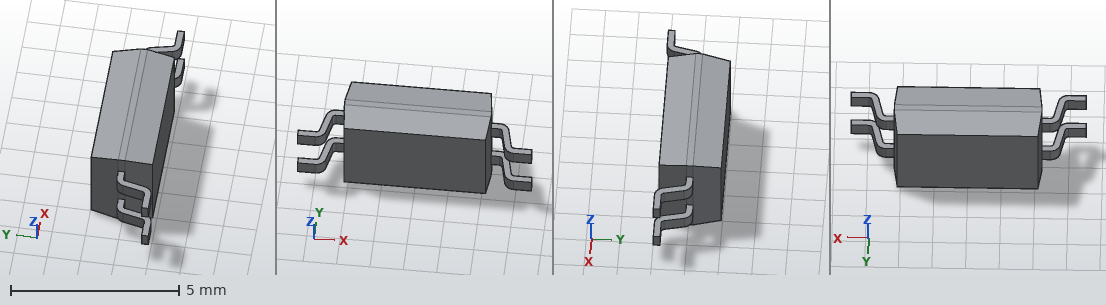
import cadquery as cq
import math

span = 7.0
overall_height = 1.94

body_length = 4.395
body_width = 2.7
body_bottom = 0.085
top_inset_x = 0.105
top_inset_z = 0.15
bottom_inset_x = 0.08
bottom_inset_z = 0.125

lead_thickness = 0.2
lead_width = 0.4
lead_pitch = 1.27
lead_top = 1.105
lead_bottom = lead_top - lead_thickness
foot_length = 0.53
shoulder_inset = 1.06
outer_radius = 0.3
inner_radius = outer_radius - lead_thickness
embed_depth = 0.14


def slab(length, width, y_start, y_end):
    return cq.Workplane("XY").box(length, y_end - y_start, width).translate(
        (0, (y_start + y_end) / 2, 0)
    )


def tapered_block(y_start, y_end, inset_x, inset_z):
    """Block shrinking from the full body outline at y_start to its end face."""
    return (
        cq.Workplane("XZ", origin=(0, y_start, 0))
        .rect(body_length, body_width)
        .workplane(offset=y_start - y_end)
        .rect(body_length - 2 * inset_x, body_width - 2 * inset_z)
        .loft(ruled=True)
    )


def make_body():
    band = slab(body_length, body_width, lead_bottom, lead_top)
    upper = tapered_block(lead_top, overall_height, top_inset_x, top_inset_z)
    lower = tapered_block(lead_bottom, body_bottom, bottom_inset_x, bottom_inset_z)
    return band.union(upper).union(lower)


def arc_point(center, radius, angle):
    return (center[0] + radius * math.cos(angle), center[1] + radius * math.sin(angle))


def lead_profile():
    """S-shaped strip: foot, bend, sloping leg, opposite bend, shoulder."""
    tip_x = -span / 2
    shoulder_end = -body_length / 2 + embed_depth
    foot_center = (tip_x + foot_length, outer_radius)
    shoulder_center = (tip_x + shoulder_inset, lead_top - outer_radius)

    dx = shoulder_center[0] - foot_center[0]
    dy = shoulder_center[1] - foot_center[1]
    leg_angle = math.atan2(dy, dx) + math.asin(
        (outer_radius + inner_radius) / math.hypot(dx, dy)
    )
    foot_start = -math.pi / 2
    foot_stop = leg_angle - math.pi / 2
    foot_mid = (foot_start + foot_stop) / 2
    shoulder_start = foot_start + math.pi
    shoulder_stop = foot_stop + math.pi
    shoulder_mid = foot_mid + math.pi

    return (
        cq.Workplane("XY")
        .moveTo(tip_x, 0)
        .lineTo(foot_center[0], 0)
        .threePointArc(
            arc_point(foot_center, outer_radius, foot_mid),
            arc_point(foot_center, outer_radius, foot_stop),
        )
        .lineTo(*arc_point(shoulder_center, inner_radius, shoulder_stop))
        .threePointArc(
            arc_point(shoulder_center, inner_radius, shoulder_mid),
            arc_point(shoulder_center, inner_radius, shoulder_start),
        )
        .lineTo(shoulder_end, lead_bottom)
        .lineTo(shoulder_end, lead_top)
        .lineTo(shoulder_center[0], lead_top)
        .threePointArc(
            arc_point(shoulder_center, outer_radius, shoulder_mid),
            arc_point(shoulder_center, outer_radius, shoulder_stop),
        )
        .lineTo(*arc_point(foot_center, inner_radius, foot_stop))
        .threePointArc(
            arc_point(foot_center, inner_radius, foot_mid),
            arc_point(foot_center, inner_radius, foot_start),
        )
        .lineTo(tip_x, lead_thickness)
        .close()
    )


result = make_body()
left_lead = lead_profile().extrude(lead_width / 2, both=True)
for lead in (left_lead, left_lead.mirror("YZ")):
    for z in (-lead_pitch / 2, lead_pitch / 2):
        result = result.union(lead.translate((0, 0, z)))